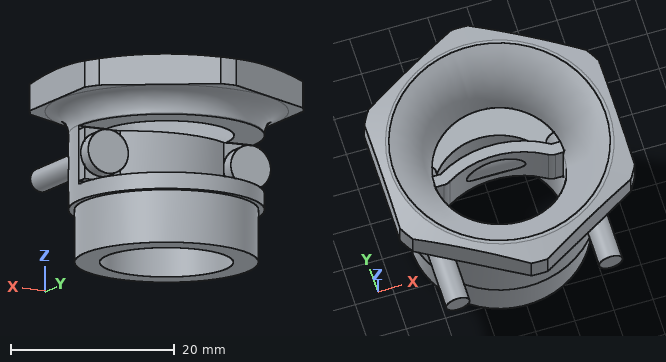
import cadquery as cq
import math

base_radius = 22.5 / 2
base_height = 6.55
body_radius = 24.0 / 2
body_top = 16.05
throat_radius = 8.17
total_height = 23.0

hex_across_flats = 30.0
hex_corner_radius = 16.75
hex_bottom = 18.92
hex_top_radius = 13.95
hex_chamfer_angle = 15.0
mouth_radius = 13.53
funnel_radius = 18.5 / 2
flare_radius = hex_bottom - body_top

window_bottom = 8.6
window_top = 15.87

strip_thickness = 1.5
strip_half_length = body_radius
strip_height = 6.45
clamp_z = 12.2
crown_y = 3.5
bend_x = 7.1
pin_radius = 3.0 / 2
pin_spacing = 19.55
pin_end_y = -14.55
head_radius = 5.5 / 2
bead_radius = 5.5 / 2
bead_face_y = 1.4
bead_half_length = 5.02


def make_hex_flange():
    """Hexagon with rounded corners and a shallow conical top chamfer."""
    thickness = total_height - hex_bottom
    corner_circumdiameter = hex_across_flats / math.cos(math.radians(30))
    hexagon = (
        cq.Workplane("XY", origin=(0, 0, hex_bottom))
        .polygon(6, corner_circumdiameter)
        .extrude(thickness)
        .rotate((0, 0, 0), (0, 0, 1), 30)
    )
    chamfer_drop = (hex_corner_radius - hex_top_radius) * math.tan(math.radians(hex_chamfer_angle))
    envelope = (
        cq.Workplane("XZ")
        .moveTo(0, hex_bottom)
        .lineTo(hex_corner_radius, hex_bottom)
        .lineTo(hex_corner_radius, total_height - chamfer_drop)
        .lineTo(hex_top_radius, total_height)
        .lineTo(0, total_height)
        .close()
        .revolve(360, (0, 0, 0), (0, 1, 0))
    )
    return hexagon.intersect(envelope)


def make_sleeve():
    """Stepped round sleeve that flares out under the flange."""
    diagonal = math.sqrt(0.5) * flare_radius
    return (
        cq.Workplane("XZ")
        .lineTo(base_radius, 0)
        .lineTo(base_radius, base_height)
        .lineTo(body_radius, base_height)
        .lineTo(body_radius, body_top)
        .threePointArc(
            (body_radius + flare_radius - diagonal, body_top + diagonal),
            (body_radius + flare_radius, hex_bottom),
        )
        .lineTo(0, hex_bottom)
        .close()
        .revolve(360, (0, 0, 0), (0, 1, 0))
    )


def make_bore():
    """Straight throat that widens tangentially along an arc up to the mouth."""
    mouth_angle = math.acos(1 - (mouth_radius - throat_radius) / funnel_radius)
    funnel_bottom = total_height - funnel_radius * math.sin(mouth_angle)
    mid_radius = throat_radius + funnel_radius * (1 - math.cos(mouth_angle / 2))
    mid_z = funnel_bottom + funnel_radius * math.sin(mouth_angle / 2)
    return (
        cq.Workplane("XZ")
        .lineTo(throat_radius, 0)
        .lineTo(throat_radius, funnel_bottom)
        .threePointArc((mid_radius, mid_z), (mouth_radius, total_height))
        .lineTo(0, total_height)
        .close()
        .revolve(360, (0, 0, 0), (0, 1, 0))
    )


def make_pins():
    """Two parallel pins that run from the strip out past the housing."""
    return (
        cq.Workplane("XZ", origin=(0, strip_thickness / 2, clamp_z))
        .rarray(pin_spacing, 0.35, 2, 1)
        .circle(pin_radius)
        .extrude(strip_thickness / 2 - pin_end_y)
    )


def make_window():
    """Block that removes the +Y half of the body between the window edges."""
    size = 2 * hex_corner_radius
    return (
        cq.Workplane("XY", origin=(0, 0, window_bottom))
        .box(size, size, window_top - window_bottom, centered=(True, False, False))
    )


def make_housing():
    return make_sleeve().union(make_hex_flange()).cut(make_bore()).cut(make_window()).cut(make_pins())


def make_strip():
    """Strip of constant thickness with an arched middle and flat ends."""
    rise = crown_y - strip_thickness
    outer_radius = (bend_x**2 + rise**2) / (2 * rise)
    slope = math.asin(bend_x / outer_radius)
    bend_end_x = bend_x - strip_thickness * math.sin(slope)
    bend_end_y = strip_thickness * (1 - math.cos(slope))
    bend_mid_x = bend_x - strip_thickness * math.sin(slope / 2)
    bend_mid_y = strip_thickness * (1 - math.cos(slope / 2))
    return (
        cq.Workplane("XY", origin=(0, 0, clamp_z - strip_height / 2))
        .moveTo(-strip_half_length, 0)
        .lineTo(-bend_x, 0)
        .threePointArc((-bend_mid_x, bend_mid_y), (-bend_end_x, bend_end_y))
        .threePointArc((0, rise), (bend_end_x, bend_end_y))
        .threePointArc((bend_mid_x, bend_mid_y), (bend_x, 0))
        .lineTo(strip_half_length, 0)
        .lineTo(strip_half_length, strip_thickness)
        .lineTo(bend_x, strip_thickness)
        .threePointArc((0, crown_y), (-bend_x, strip_thickness))
        .lineTo(-strip_half_length, strip_thickness)
        .close()
        .extrude(strip_height)
    )


def make_heads():
    """Round pin heads on the back of the strip, level with its crown."""
    return (
        cq.Workplane("XZ", origin=(0, crown_y, clamp_z))
        .rarray(pin_spacing, 0.35, 2, 1)
        .circle(head_radius)
        .extrude(crown_y - strip_thickness)
    )


def make_bead():
    """Cylindrical bead along X, kept only where it stands out of the hollow side."""
    axis_y = bead_face_y + bead_radius
    rod = (
        cq.Workplane("YZ", origin=(-bead_half_length, axis_y, clamp_z))
        .circle(bead_radius)
        .extrude(2 * bead_half_length)
    )
    hollow_depth = crown_y - strip_thickness
    hollow = (
        cq.Workplane("XY", origin=(0, hollow_depth / 2, clamp_z))
        .box(2 * bead_half_length, hollow_depth, strip_height)
    )
    return rod.intersect(hollow)


def make_clamp():
    return make_strip().union(make_heads()).union(make_pins()).union(make_bead())


housing = make_housing()
clamp = make_clamp()

result = cq.Compound.makeCompound([housing.val(), clamp.val()])